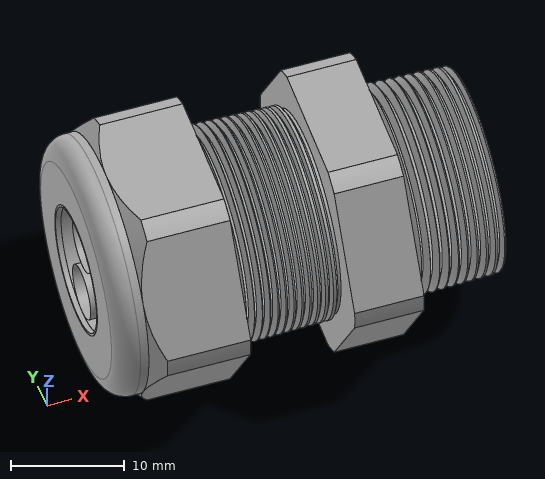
import cadquery as cq
import math


overall_length = 36.83
across_flats = 23.85
across_corners = 26.48

nut_length = 11.82
nose_length = 2.8
nose_fillet = 2.03
collar_start = 21.47
collar_end = 27.9

groove_angle = 60.0
crest_taper = 0.03
nut_thread_first_root = 12.1
nut_thread_last_root = 21.18
nut_thread_ridges = 12
nut_thread_root_radius = 9.4
end_thread_first_root = 29.25
end_thread_last_root = 36.35
end_thread_ridges = 8
end_thread_root_radius = 8.9
end_chamfer_start = 36.65
end_face_radius = 9.25

neck_radius = 8.7
neck_end = 28.95

bore_radius = 5.95
insert_recess_depth = 0.5
cable_hole_radius = 2.55
cable_hole_offset = 3.2

nose_radius = across_flats / 2
corner_radius = across_corners / 2
flank_slope = 1 / math.tan(math.radians(groove_angle / 2))
insert_recess_radius = cable_hole_offset + cable_hole_radius


def cylinder(radius, start, end):
    return cq.Workplane("YZ").workplane(offset=start).circle(radius).extrude(end - start)


def hexagon(start, end):
    """Hexagonal prism with flats facing +Z and -Z, its corners turned to a cylinder."""
    sharp_corners = across_flats / math.cos(math.radians(30))
    prism = cq.Workplane("YZ").workplane(offset=start).polygon(6, sharp_corners).extrude(end - start)
    return prism.intersect(cylinder(corner_radius, start, end))


def revolve_about_x(outline):
    return outline.close().revolve(360, (0, 0, 0), (1, 0, 0))


def thread_ridges(first_root, last_root, count, root_radius):
    """Outline points of the ridges from the first to the last root; the crests fall towards +X."""
    pitch = (last_root - first_root) / count
    sharp_radius = root_radius + flank_slope * pitch / 2
    points = [(first_root, root_radius)]
    for index in range(count):
        root = first_root + index * pitch
        next_root = root + pitch
        crest_radius = sharp_radius - crest_taper * (root + pitch / 2 - first_root)
        flank_run = (crest_radius - root_radius) / flank_slope
        points.append((root + flank_run, crest_radius))
        points.append((next_root - flank_run, crest_radius))
        points.append((next_root, root_radius))
    return points


def make_nut():
    chamfer_size = corner_radius - nose_radius
    chamfered_envelope = revolve_about_x(
        cq.Workplane("XY").polyline([
            (nose_length, 0),
            (nose_length, nose_radius),
            (nose_length + chamfer_size, corner_radius),
            (nut_length, corner_radius),
            (nut_length, 0),
        ])
    )
    nose = cylinder(nose_radius, 0, nut_length).faces("<X").edges().fillet(nose_fillet)
    return hexagon(nose_length, nut_length).intersect(chamfered_envelope).union(nose)


def make_nut_thread():
    ridges = thread_ridges(
        nut_thread_first_root, nut_thread_last_root, nut_thread_ridges, nut_thread_root_radius
    )
    start_radius = nut_thread_root_radius + flank_slope * (nut_thread_first_root - nut_length)
    return revolve_about_x(
        cq.Workplane("XY").polyline([
            (nut_length, 0),
            (nut_length, start_radius),
            *ridges,
            (collar_start, nut_thread_root_radius),
            (collar_start, 0),
        ])
    )


def make_end_thread():
    ridges = thread_ridges(
        end_thread_first_root, end_thread_last_root, end_thread_ridges, end_thread_root_radius
    )

    neck_end_radius = end_thread_root_radius + flank_slope * (end_thread_first_root - neck_end)
    neck_run = neck_end - collar_end
    neck_rise = neck_end_radius - neck_radius
    neck_arc_radius = (neck_run ** 2 + neck_rise ** 2) / (2 * neck_rise)
    neck_middle = (
        collar_end + neck_run / 2,
        neck_radius + neck_arc_radius - math.sqrt(neck_arc_radius ** 2 - (neck_run / 2) ** 2),
    )

    last_crest_radius = end_thread_root_radius + flank_slope * (end_chamfer_start - end_thread_last_root)

    return revolve_about_x(
        cq.Workplane("XY")
        .moveTo(collar_end, 0)
        .lineTo(collar_end, neck_radius)
        .threePointArc(neck_middle, (neck_end, neck_end_radius))
        .polyline(ridges, includeCurrent=True)
        .lineTo(end_chamfer_start, last_crest_radius)
        .lineTo(overall_length, end_face_radius)
        .lineTo(overall_length, 0)
    )


def make_gland():
    gland = (
        make_nut()
        .union(make_nut_thread())
        .union(hexagon(collar_start, collar_end))
        .union(make_end_thread())
    )
    return gland.cut(cylinder(bore_radius, 0, overall_length))


def make_insert():
    """Plug filling the bore, with a shallow front recess and two cable holes one above the other."""
    insert = cylinder(bore_radius, 0, overall_length)
    insert = insert.cut(cylinder(insert_recess_radius, 0, insert_recess_depth))
    cable_hole = cylinder(cable_hole_radius, 0, overall_length)
    for side in (1, -1):
        insert = insert.cut(cable_hole.translate((0, 0, side * cable_hole_offset)))
    return insert


gland = make_gland()
insert = make_insert()
result = cq.Compound.makeCompound([gland.val(), insert.val()])